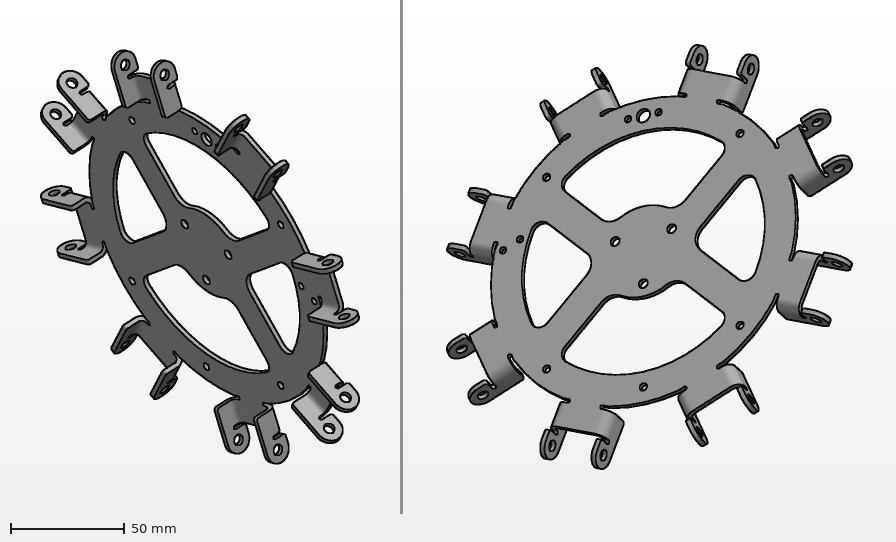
import cadquery as cq
import math


overall_width = 198.5
depth = 12.5
thickness = 2.4
back = depth / 2
front = -depth / 2
plate_front = back - thickness

plate_radius = 75.3
window_radius = 60.0
hub_radius = 22.5
side_window_apex = 22.5
inner_fillet = 8.0
outer_fillet = 5.0

hub_hole_circle = 16.0
hub_hole_diameter = 4.4
hub_hole_angles = (30, 150, 270)
rim_hole_circle = 67.5
rim_hole_diameter = 3.5
rim_hole_angles = (45, 135, 225, 315, 270)
large_hole_diameter = 6.5
pair_hole_diameter = 3.2
top_pair_spacing = 15.0
side_pair_spacing = 9.1
side_pair_angle = 15.5
side_pair_direction = -23.0

tab_count = 8
first_tab_angle = 180 / tab_count
ear_outside = 14.9
bend_radius = 5.0
ear_start = 76.0
tab_end = 88.0
relief_width = 1.8
relief_overrun = 1.8
pin_hole_diameter = 5.0
ear_corner_radius = 1.4
bend_inner_radius = bend_radius - thickness
bend_line = ear_outside - bend_radius
ear_inside = ear_outside - thickness
tilt = math.radians(first_tab_angle)
ear_tip = (overall_width / 2 - ear_outside * math.sin(tilt)) / math.cos(tilt)
pin_distance = ear_tip - depth / 2


def polar(radius, degrees):
    """X and Z of a point at the given radius and angle from +X."""
    angle = math.radians(degrees)
    return (radius * math.cos(angle), radius * math.sin(angle))


def plate_layer():
    """Workplane on the back face of the plate; extruding it goes forward (-Y)."""
    return cq.Workplane("XZ", origin=(0, back, 0))


def through_plate(points, diameter):
    """Cylinders through the plate at the given (x, z) points."""
    return plate_layer().pushPoints(points).circle(diameter / 2).extrude(thickness)


def wedge(apex):
    """Right-angled sector opening toward +Z from (0, apex) out to the window circle."""
    reach = window_radius
    points = [(0, apex), (reach, apex + reach), (-reach, apex + reach)]
    corner = plate_layer().polyline(points).close().extrude(thickness)
    return corner.intersect(plate_layer().circle(window_radius).extrude(thickness))


def hub_window():
    """Window above the hub, its lower edge following the hub circle."""
    window = wedge(0).cut(plate_layer().circle(hub_radius).extrude(thickness))
    hub_zone = cq.selectors.BoxSelector((-hub_radius, front, 0), (hub_radius, back, hub_radius))
    window = window.edges("|Y").edges(hub_zone).fillet(inner_fillet)
    return window.edges("|Y").edges("<X or >X").fillet(outer_fillet)


def side_window():
    """Narrower window with a rounded apex, drawn pointing up."""
    window = wedge(side_window_apex).edges("|Y").edges("<Z").fillet(inner_fillet)
    return window.edges("|Y").edges("<X or >X").fillet(outer_fillet)


def turned(solid, degrees):
    """Turn about Y so that +X moves toward +Z for positive angles."""
    return solid.rotate((0, 0, 0), (0, 1, 0), -degrees)


def ear():
    """Bent ear on the +Z side of a tab that points along +X."""
    bend = (
        cq.Workplane("YZ", origin=(ear_start, 0, 0))
        .moveTo(back, 0)
        .lineTo(back, bend_line)
        .radiusArc((back - bend_radius, ear_outside), -bend_radius)
        .lineTo(back - bend_radius, ear_inside)
        .radiusArc((plate_front, bend_line), bend_inner_radius)
        .lineTo(plate_front, 0)
        .close()
        .extrude(tab_end - ear_start)
    )
    relief_end = tab_end + relief_width
    slot_depth = bend_radius + relief_overrun
    slot_round = relief_width / 2
    slot_bottom = back - slot_depth + slot_round
    blade = (
        cq.Workplane("XY", origin=(0, 0, ear_inside))
        .moveTo(ear_start, front)
        .lineTo(pin_distance, front)
        .threePointArc((ear_tip, 0), (pin_distance, back))
        .lineTo(relief_end, back)
        .lineTo(relief_end, slot_bottom)
        .threePointArc((tab_end + slot_round, slot_bottom - slot_round), (tab_end, slot_bottom))
        .lineTo(tab_end, back - bend_radius)
        .lineTo(ear_start, back - bend_radius)
        .close()
        .extrude(thickness)
    )
    foot_corner = cq.selectors.BoxSelector(
        (ear_start - ear_corner_radius, front - ear_corner_radius, ear_inside),
        (ear_start + ear_corner_radius, front + ear_corner_radius, ear_outside),
    )
    relief_corner = cq.selectors.BoxSelector(
        (relief_end - ear_corner_radius, back - ear_corner_radius, ear_inside),
        (relief_end + ear_corner_radius, back + ear_corner_radius, ear_outside),
    )
    blade = blade.edges("|Z").edges(foot_corner + relief_corner).fillet(ear_corner_radius)
    pin_hole = (
        cq.Workplane("XY", origin=(pin_distance, 0, ear_inside))
        .circle(pin_hole_diameter / 2)
        .extrude(thickness)
    )
    return bend.union(blade).cut(pin_hole)


def tab():
    """Flat tab along +X with an ear on each side."""
    neck_start = (window_radius + plate_radius) / 2
    neck_middle = (neck_start + ear_start) / 2
    neck = (
        plate_layer()
        .center(neck_middle, 0)
        .rect(ear_start - neck_start, 2 * bend_line)
        .extrude(thickness)
    )
    upper_ear = ear()
    return neck.union(upper_ear).union(upper_ear.mirror("XY"))


def bend_reliefs():
    """Round-ended slots in the plate at the root of both ears of a tab along +X."""
    slot_end = bend_line - relief_overrun
    slot_length = ear_outside - slot_end
    middle = (slot_end + ear_outside) / 2
    return (
        plate_layer()
        .pushPoints([(ear_start - relief_width / 2, side * middle) for side in (1, -1)])
        .slot2D(slot_length, relief_width, 90)
        .extrude(thickness)
    )


def plate_holes():
    """All round holes of the plate."""
    hub_points = [polar(hub_hole_circle, angle) for angle in hub_hole_angles]
    rim_points = [polar(rim_hole_circle, angle) for angle in rim_hole_angles]
    top_pair = [(side * top_pair_spacing / 2, rim_hole_circle) for side in (1, -1)]
    side_x, side_z = polar(rim_hole_circle, side_pair_angle)
    step_x, step_z = polar(side_pair_spacing / 2, side_pair_direction)
    side_pair = [(side_x + side * step_x, side_z + side * step_z) for side in (1, -1)]
    holes = through_plate(hub_points, hub_hole_diameter)
    holes = holes.union(through_plate(rim_points, rim_hole_diameter))
    holes = holes.union(through_plate([(0, rim_hole_circle)], large_hole_diameter))
    return holes.union(through_plate(top_pair + side_pair, pair_hole_diameter))


result = plate_layer().circle(plate_radius).extrude(thickness)

for half_turn in (0, 180):
    result = result.cut(turned(hub_window(), half_turn))
    result = result.cut(turned(side_window(), half_turn + 90))

one_tab = tab()
one_relief_pair = bend_reliefs()
for index in range(tab_count):
    tab_angle = first_tab_angle + index * 360 / tab_count
    result = result.union(turned(one_tab, tab_angle))
    result = result.cut(turned(one_relief_pair, tab_angle))

result = result.cut(plate_holes())